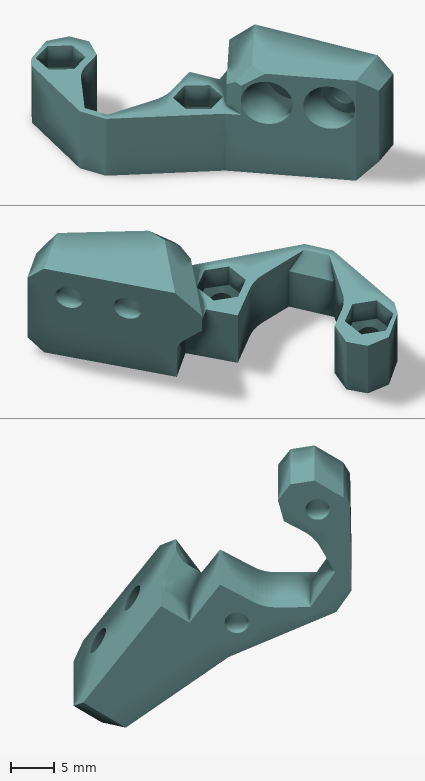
import cadquery as cq
import math

LENGTH = 42.0
DEPTH = 17.19
TOP = 13.8
HOOK_HEIGHT = 7.85
OVERSHOOT = 5.0

SCREW_SPACING = 18.0
HOOK_TILT = -3.2
HOOK_CENTER = (12.0, -8.02)
SCREW_DIAMETER = 2.8
NUT_ACROSS_CORNERS = 5.8
NUT_DEPTH = 3.0
NUT_ROTATION = 30.0

OPENING_HALF_WIDTH = 5.6
OPENING_FLOOR_HALF_WIDTH = 1.52
OPENING_SHOULDER = -1.6
OPENING_FLOOR = -8.18
OPENING_FILLET = 5.0
RAMP_LENGTH = 2.0
RAMP_DROP = 2.0

TIP_BACK = -3.0
TIP_CHAMFER = 2.0
TIP_BACK_RIGHT_X = 4.58
TIP_SIDE_RIGHT = (6.55, -5.2)
STEP_BACK = -4.0
TIP_SIDE_FRONT = -9.05
TIP_FRONT_CORNER = (0.78, -10.55)
HOOK_BOTTOM_LEFT = (9.83, -17.0)
HOOK_BOTTOM_RIGHT = (13.24, -DEPTH)
FRONT_BEND = (25.32, -10.4)

END_CHAMFER = 2.0
END_FRONT = -4.0
BLOCK_BACK_LEFT = (21.05, 0)
BLOCK_FRONT_LEFT = (24.7, -8.74)
BLOCK_FACET_X = 27.1
SIDE_BEVEL = 3.0
FACET_BEVEL = 1.9
BOLT_POSITIONS = (30.0, 37.0)
BOLT_HEIGHT = 9.8
BOLT_DIAMETER = 3.3
BOLT_HEAD_DIAMETER = 5.8
BOLT_SEAT_Y = -3.0

UNDERCUT_EDGE_X = 21.65
UNDERCUT_WALL_X = 24.1
UNDERCUT_FILLET = 3.0

CHAMFER_START_X = LENGTH - END_CHAMFER
FRONT_RIGHT = (CHAMFER_START_X, END_FRONT - END_CHAMFER)


def front_y(x):
    """Y of the slanted front face at the given X."""
    slope = (FRONT_RIGHT[1] - FRONT_BEND[1]) / (FRONT_RIGHT[0] - FRONT_BEND[0])
    return FRONT_BEND[1] + slope * (x - FRONT_BEND[0])


def in_hook_frame(body):
    """Move a body modeled in the hook frame to its place in the part."""
    return body.rotate((0, 0, 0), (0, 0, 1), HOOK_TILT).translate((*HOOK_CENTER, 0))


def hook_base():
    """Outline of the hook and the block foot, with the opening still filled."""
    outline = [
        (0, TIP_BACK - TIP_CHAMFER),
        (TIP_CHAMFER, TIP_BACK),
        (TIP_BACK_RIGHT_X, TIP_BACK),
        TIP_SIDE_RIGHT,
        (HOOK_CENTER[0], STEP_BACK),
        (UNDERCUT_EDGE_X, STEP_BACK),
        (UNDERCUT_EDGE_X, 0),
        (LENGTH, 0),
        (LENGTH, END_FRONT),
        FRONT_RIGHT,
        FRONT_BEND,
        HOOK_BOTTOM_RIGHT,
        HOOK_BOTTOM_LEFT,
        TIP_FRONT_CORNER,
        (0, TIP_SIDE_FRONT),
    ]
    return cq.Workplane("XY").polyline(outline).close().extrude(HOOK_HEIGHT)


def floor_ramp():
    """Wedge on the opening floor, sloping down from the top of the hook, in the hook frame."""
    ramp_end = OPENING_FLOOR + RAMP_LENGTH
    return (
        cq.Workplane("YZ")
        .polyline([
            (OPENING_FLOOR, 0),
            (OPENING_FLOOR, HOOK_HEIGHT),
            (ramp_end, HOOK_HEIGHT - RAMP_DROP),
            (ramp_end, 0),
        ])
        .close()
        .extrude(OPENING_HALF_WIDTH, both=True)
    )


def hook_opening():
    """Body that clears the hook opening and leaves a ramp at its floor."""
    back = OPENING_HALF_WIDTH + OVERSHOOT
    opening = (
        cq.Workplane("XY")
        .polyline([
            (-OPENING_HALF_WIDTH, back),
            (-OPENING_HALF_WIDTH, OPENING_SHOULDER),
            (-OPENING_FLOOR_HALF_WIDTH, OPENING_FLOOR),
            (OPENING_FLOOR_HALF_WIDTH, OPENING_FLOOR),
            (OPENING_HALF_WIDTH, OPENING_SHOULDER),
            (OPENING_HALF_WIDTH, back),
        ])
        .close()
        .extrude(HOOK_HEIGHT)
    )
    for x in (-OPENING_HALF_WIDTH, OPENING_HALF_WIDTH):
        shoulder = cq.NearestToPointSelector((x, OPENING_SHOULDER, HOOK_HEIGHT / 2))
        opening = opening.edges(shoulder).fillet(OPENING_FILLET)
    return in_hook_frame(opening.cut(floor_ramp()))


def edge_bevel(start, end, size):
    """45 degree bevel cutter along the straight top edge from start to end."""
    along = (end[0] - start[0], end[1] - start[1], 0)
    across = (-along[1], along[0], 0)
    plane = cq.Plane(origin=(*start, TOP), xDir=across, normal=along)
    diamond = [(-size, 0), (0, -size), (size, 0), (0, size)]
    return cq.Workplane(plane).polyline(diamond).close().extrude(LENGTH, both=True)


def mounting_block():
    """Upper part of the block, with its beveled left end."""
    facet_end = (BLOCK_FACET_X, front_y(BLOCK_FACET_X))
    outline = [BLOCK_BACK_LEFT, (LENGTH, 0), (LENGTH, END_FRONT), FRONT_RIGHT, facet_end, BLOCK_FRONT_LEFT]
    block = (
        cq.Workplane("XY", origin=(0, 0, HOOK_HEIGHT))
        .polyline(outline)
        .close()
        .extrude(TOP - HOOK_HEIGHT)
    )
    block = block.cut(edge_bevel(BLOCK_BACK_LEFT, BLOCK_FRONT_LEFT, SIDE_BEVEL))
    return block.cut(edge_bevel(BLOCK_FRONT_LEFT, facet_end, FACET_BEVEL))


def end_bevels():
    """Wedges that bevel the top and bottom edges of the right end."""
    wedges = cq.Workplane("XZ")
    for level in (0, TOP):
        wedges = wedges.moveTo(LENGTH, level - END_CHAMFER)
        wedges = wedges.lineTo(LENGTH + END_CHAMFER, level)
        wedges = wedges.lineTo(LENGTH, level + END_CHAMFER)
        wedges = wedges.lineTo(CHAMFER_START_X, level).close()
    return wedges.extrude(DEPTH)


def undercut():
    """Body below the 45 degree overhang, blended into the vertical wall."""
    diagonal = math.radians(45)
    arc_center_x = UNDERCUT_WALL_X - UNDERCUT_FILLET
    arc_end_x = arc_center_x + UNDERCUT_FILLET * math.cos(diagonal)
    arc_end_z = HOOK_HEIGHT - (arc_end_x - UNDERCUT_EDGE_X)
    arc_center_z = arc_end_z - UNDERCUT_FILLET * math.sin(diagonal)
    arc_middle = (
        arc_center_x + UNDERCUT_FILLET * math.cos(diagonal / 2),
        arc_center_z + UNDERCUT_FILLET * math.sin(diagonal / 2),
    )
    outer_x = UNDERCUT_EDGE_X - OVERSHOOT
    return (
        cq.Workplane("XZ")
        .moveTo(outer_x, 0)
        .lineTo(UNDERCUT_WALL_X, 0)
        .lineTo(UNDERCUT_WALL_X, arc_center_z)
        .threePointArc(arc_middle, (arc_end_x, arc_end_z))
        .lineTo(outer_x, HOOK_HEIGHT + OVERSHOOT)
        .close()
        .extrude(-STEP_BACK)
    )


def screw_holes():
    """Vertical screw holes with hexagonal nut pockets open to the top of the hook."""
    positions = [(-SCREW_SPACING / 2, 0), (SCREW_SPACING / 2, 0)]
    holes = cq.Workplane("XY").pushPoints(positions).circle(SCREW_DIAMETER / 2).extrude(HOOK_HEIGHT)
    pocket = (
        cq.Workplane("XY", origin=(0, 0, HOOK_HEIGHT - NUT_DEPTH))
        .polygon(6, NUT_ACROSS_CORNERS)
        .extrude(NUT_DEPTH)
        .rotate((0, 0, 0), (0, 0, 1), NUT_ROTATION)
    )
    for x, y in positions:
        holes = holes.union(pocket.translate((x, y, 0)))
    return in_hook_frame(holes)


def bolt_holes():
    """Bolt holes through the block along Y, with deep head recesses from the front."""
    centers = [(x, BOLT_HEIGHT) for x in BOLT_POSITIONS]
    shanks = cq.Workplane("XZ").pushPoints(centers).circle(BOLT_DIAMETER / 2).extrude(DEPTH)
    heads = (
        cq.Workplane("XZ", origin=(0, BOLT_SEAT_Y, 0))
        .pushPoints(centers)
        .circle(BOLT_HEAD_DIAMETER / 2)
        .extrude(DEPTH)
    )
    return shanks.union(heads)


hook = hook_base().cut(hook_opening())
result = hook.union(mounting_block())
for cutter in (undercut(), end_bevels(), screw_holes(), bolt_holes()):
    result = result.cut(cutter)